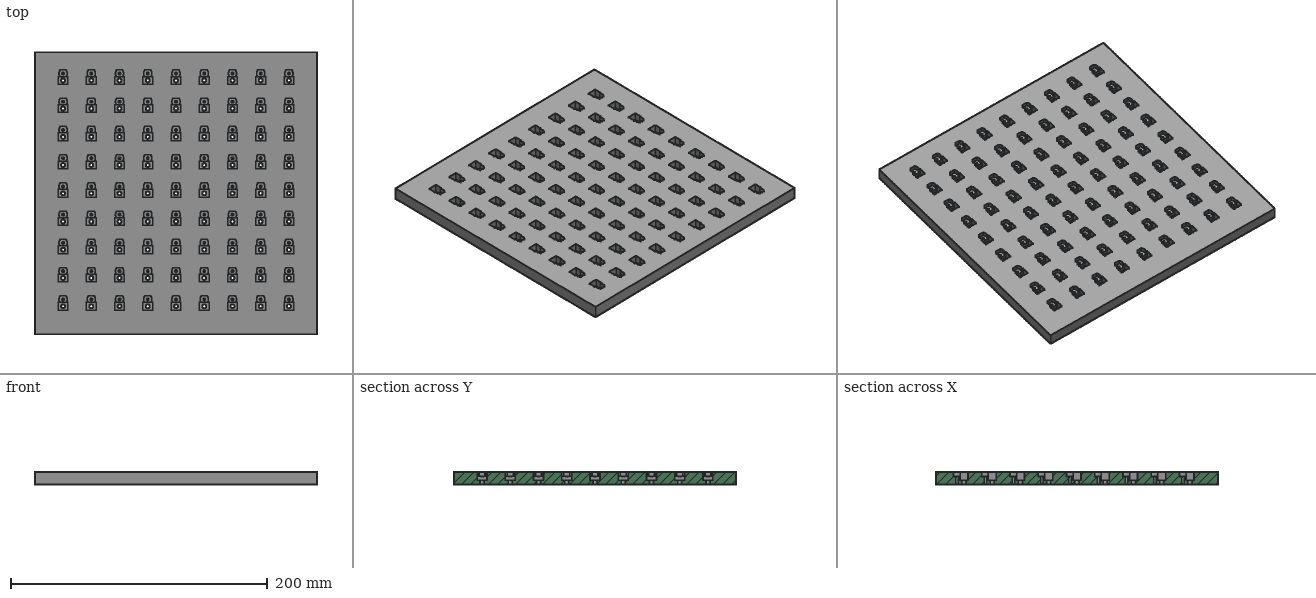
import cadquery as cq

plate_side = 220.0
plate_thickness = 10.0

pocket_count = 9
pocket_pitch = plate_side / (pocket_count + 1)

body_width = 7.5
body_length = 6.0
body_depth = 6.5
shoulder_y = body_length / 2
head_length = 5.1
head_depth = 3.5
head_shoulder_width = 5.0
head_widest_width = 6.4
head_widest_y = 5.5
head_end_width = 4.4

body_hole_diameter = 3.0
head_hole_diameter = 1.5
head_hole_y = 5.35



def make_body_cutter():
    """Rectangular body of a pocket, centred on the pocket origin"""
    floor = plate_thickness - body_depth
    return cq.Workplane("XY", origin=(0, 0, floor)).rect(body_width, body_length).extrude(body_depth)


def make_head_cutter():
    """Head of a pocket: straight shoulder and end joined by two bulging side arcs"""
    floor = plate_thickness - head_depth
    end_y = shoulder_y + head_length
    return (
        cq.Workplane("XY", origin=(0, 0, floor))
        .moveTo(-head_shoulder_width / 2, shoulder_y)
        .lineTo(head_shoulder_width / 2, shoulder_y)
        .threePointArc((head_widest_width / 2, head_widest_y), (head_end_width / 2, end_y))
        .lineTo(-head_end_width / 2, end_y)
        .threePointArc((-head_widest_width / 2, head_widest_y), (-head_shoulder_width / 2, shoulder_y))
        .close()
        .extrude(head_depth)
    )


def make_hole_cutter(diameter, center_y):
    """Hole through the whole plate thickness"""
    return cq.Workplane("XY").center(0, center_y).circle(diameter / 2).extrude(plate_thickness)


def make_pocket_cutter():
    """One complete pocket with its two holes"""
    return (
        make_body_cutter()
        .union(make_head_cutter())
        .union(make_hole_cutter(body_hole_diameter, 0))
        .union(make_hole_cutter(head_hole_diameter, head_hole_y))
    )


pocket_cutter = make_pocket_cutter().val()
pocket_cutters = (
    cq.Workplane("XY")
    .rarray(pocket_pitch, pocket_pitch, pocket_count, pocket_count)
    .eachpoint(lambda location: pocket_cutter.moved(location))
)
plate = cq.Workplane("XY").box(plate_side, plate_side, plate_thickness, centered=(True, True, False))
result = plate.cut(pocket_cutters)